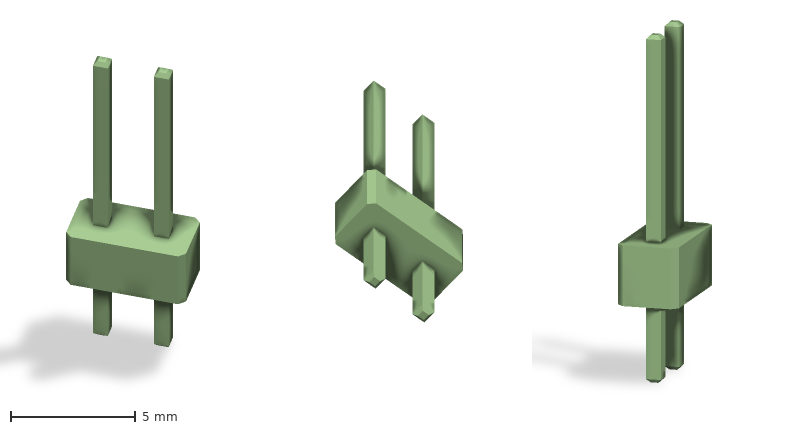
import cadquery as cq

total_height = 14.3
pin_pitch = 2.55
pin_width = 0.63
tail_length = 3.3

body_length = 5.0
body_width = 2.55
body_height = 2.5
corner_chamfer = 0.26

tip_chamfer = 0.16


def make_housing():
    """Block with chamfered vertical edges."""
    block = cq.Workplane("XY").workplane(offset=tail_length).box(
        body_length, body_width, body_height, centered=(True, True, False)
    )
    return block.edges("|Z").chamfer(corner_chamfer)


def make_pin(x_center):
    """Square pin running through the housing, tapered at both ends."""
    pin = cq.Workplane("XY").center(x_center, 0).box(
        pin_width, pin_width, total_height, centered=(True, True, False)
    )
    return pin.faces("<Z or >Z").chamfer(tip_chamfer)


result = make_housing()
for side in (-1, 1):
    result = result.union(make_pin(side * pin_pitch / 2))